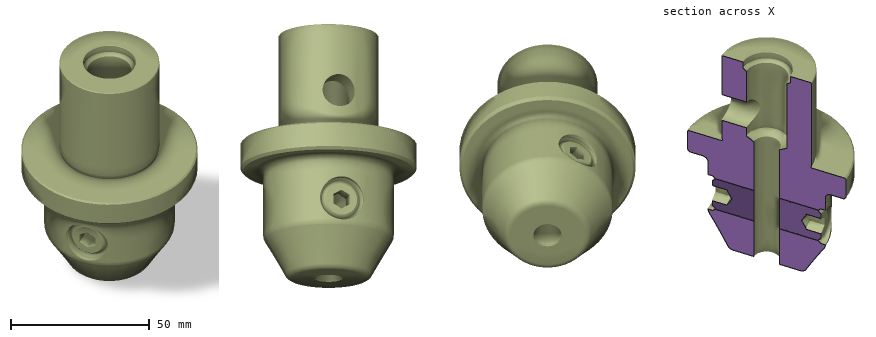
import cadquery as cq
import math

total_height = 90.0
shank_radius = 18.0
shank_chamfer = 0.3
shank_foot_height = 51.5
shank_foot_taper = 0.3
flange_radius = 31.8
flange_top = 50.0
flange_bottom = 40.0
flange_top_chamfer = 0.5
flange_bottom_chamfer = 1.0
body_diameter = 47.1
body_radius = body_diameter / 2
body_fillet = 2.0
cone_top = 15.0
cone_angle = 30.0
cone_fillet = 3.4
nose_fillet = 2.7
selection_margin = 0.1

mouth_radius = 9.45
mouth_chamfer = 0.2
mouth_depth = 3.0
bore_radius = 8.0
mouth_cone_height = 0.9
through_radius = 5.0
bore_floor = 54.0
bore_cone_angle = 60.0

shank_hole_radius = 5.9
shank_hole_height = 65.5

screw_height = 23.9
screw_radius = 7.0
screw_face_radius = 5.8
screw_chamfer = screw_radius - screw_face_radius
screw_face_distance = 21.8
screw_tip_distance = through_radius
countersink_radius = 8.0
hex_across_flats = 6.0
hex_depth = 6.0
hex_turn = 30
socket_cone_angle = 60.0
screw_side_angles = (0, 180)


def make_outer_form():
    """Shank, flange, body and nose cone as one revolved solid."""
    nose_radius = body_radius - cone_top * math.tan(math.radians(cone_angle))
    foot_radius = shank_radius - shank_foot_taper
    form = (
        cq.Workplane("XZ")
        .moveTo(0, 0)
        .lineTo(nose_radius, 0)
        .lineTo(body_radius, cone_top)
        .lineTo(body_radius, flange_bottom)
        .lineTo(flange_radius - flange_bottom_chamfer, flange_bottom)
        .lineTo(flange_radius, flange_bottom + flange_bottom_chamfer)
        .lineTo(flange_radius, flange_top - flange_top_chamfer)
        .lineTo(flange_radius - flange_top_chamfer, flange_top)
        .lineTo(foot_radius, flange_top)
        .lineTo(shank_radius, shank_foot_height)
        .lineTo(shank_radius, total_height - shank_chamfer)
        .lineTo(shank_radius - shank_chamfer, total_height)
        .lineTo(0, total_height)
        .close()
        .revolve(360, (0, 0, 0), (0, 1, 0))
    )
    return round_edges(form, nose_radius)


def round_edges(form, nose_radius):
    """Fillet the nose rim, the cone shoulder and the corner under the flange."""
    rims = (
        (nose_radius, 0, nose_fillet),
        (body_radius, cone_top, cone_fillet),
        (body_radius, flange_bottom, body_fillet),
    )
    for rim_radius, height, fillet in rims:
        reach = rim_radius + selection_margin
        near = cq.selectors.BoxSelector(
            (-reach, -reach, height - selection_margin),
            (reach, reach, height + selection_margin),
            boundingbox=True,
        )
        form = form.edges(near).fillet(fillet)
    return form


def make_bore():
    """Tool for the stepped bore that runs through the holder."""
    mouth_floor = total_height - mouth_depth
    bore_cone_height = (bore_radius - through_radius) / math.tan(math.radians(bore_cone_angle))
    return (
        cq.Workplane("XZ")
        .moveTo(0, 0)
        .lineTo(through_radius, 0)
        .lineTo(through_radius, bore_floor)
        .lineTo(bore_radius, bore_floor + bore_cone_height)
        .lineTo(bore_radius, mouth_floor - mouth_cone_height)
        .lineTo(mouth_radius, mouth_floor)
        .lineTo(mouth_radius, total_height - mouth_chamfer)
        .lineTo(mouth_radius + mouth_chamfer, total_height)
        .lineTo(0, total_height)
        .close()
        .revolve(360, (0, 0, 0), (0, 1, 0))
    )


def make_shank_hole():
    """Tool for the radial hole from the +Y side of the shank into the bore."""
    return (
        cq.Workplane("XZ")
        .center(0, shank_hole_height)
        .circle(shank_hole_radius)
        .extrude(-shank_radius)
    )


def place_on_side(shape, side_angle):
    """Turn a shape built on the -Y side about the Z axis."""
    return shape.rotate((0, 0, 0), (0, 0, 1), side_angle)


def make_screw_hole(side_angle):
    """Tool for a screw hole whose 45 degree countersink meets the foot of the screw chamfer."""
    countersink_floor = screw_face_distance - screw_chamfer
    countersink_start = countersink_floor + countersink_radius - screw_radius
    hole = (
        cq.Workplane("XY")
        .moveTo(0, -screw_tip_distance)
        .lineTo(screw_radius, -screw_tip_distance)
        .lineTo(screw_radius, -countersink_floor)
        .lineTo(countersink_radius, -countersink_start)
        .lineTo(countersink_radius, -body_radius)
        .lineTo(0, -body_radius)
        .close()
        .revolve(360, (0, 0, 0), (0, 1, 0))
        .translate((0, 0, screw_height))
    )
    return place_on_side(hole, side_angle)


def make_holder():
    """Holder with its bore, shank hole and screw holes cut out."""
    holder = make_outer_form().cut(make_shank_hole())
    for side_angle in screw_side_angles:
        holder = holder.cut(make_screw_hole(side_angle))
    return holder.cut(make_bore())


def make_clamping_screw(side_angle):
    """Set screw with a chamfered outer end and a hex socket with a conical floor."""
    hex_circumradius = hex_across_flats / math.sqrt(3)
    shaft = (
        cq.Workplane("XY")
        .moveTo(0, -screw_tip_distance)
        .lineTo(screw_radius, -screw_tip_distance)
        .lineTo(screw_radius, -screw_face_distance + screw_chamfer)
        .lineTo(screw_face_radius, -screw_face_distance)
        .lineTo(0, -screw_face_distance)
        .close()
        .revolve(360, (0, 0, 0), (0, 1, 0))
    )
    socket = (
        cq.Workplane("XZ", origin=(0, -screw_face_distance, 0))
        .polygon(6, 2 * hex_circumradius)
        .extrude(-hex_depth)
        .rotate((0, 0, 0), (0, 1, 0), hex_turn)
    )
    socket_floor = -screw_face_distance + hex_depth
    socket_cone_height = hex_across_flats / 2 / math.tan(math.radians(socket_cone_angle))
    socket_tip = (
        cq.Workplane("XY")
        .moveTo(0, socket_floor)
        .lineTo(hex_across_flats / 2, socket_floor)
        .lineTo(0, socket_floor + socket_cone_height)
        .close()
        .revolve(360, (0, 0, 0), (0, 1, 0))
    )
    screw = shaft.cut(socket).cut(socket_tip).translate((0, 0, screw_height))
    return place_on_side(screw, side_angle)


holder = make_holder()
clamping_screws = [make_clamping_screw(side_angle) for side_angle in screw_side_angles]
result = cq.Compound.makeCompound([holder.val(), *[screw.val() for screw in clamping_screws]])